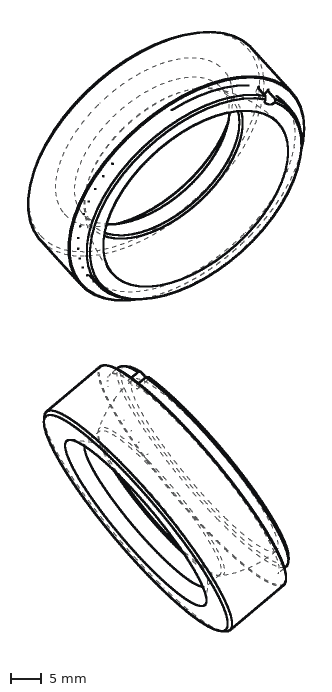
import cadquery as cq
import math

total_length = 14.9
outer_radius = 23.25
front_chamfer = 0.5
rear_chamfer = 0.15

boss_length = 2.55
boss_radius = 21.2
boss_root_fillet = 0.3
boss_chamfer_length = 0.4
boss_chamfer_depth = 0.35
shoulder_x = total_length - boss_length

throat_radius = 15.25
countersink_depth = 2.25
throat_end_x = 5.15
throat_bevel_length = 0.35
seat_radius = 18.25
rim_land_length = 0.35
seat_start_x = throat_end_x + throat_bevel_length
seat_start_radius = math.sqrt(seat_radius**2 - (total_length - seat_start_x) ** 2)
seat_end_x = total_length - rim_land_length
seat_end_radius = math.sqrt(seat_radius**2 - rim_land_length**2)

keyway_angle = 45.0
keyway_width = 2.7
keyway_floor_radius = 20.1
keyway_corner_radius = 0.95
keyway_height = 2 * (outer_radius - keyway_floor_radius)


def make_ring():
    """Revolve the half section, drawn as (X, radius), about the X axis."""
    fillet_end = (shoulder_x + boss_root_fillet, boss_radius)
    section = (
        cq.Workplane("XY")
        .moveTo(0, throat_radius + countersink_depth)
        .lineTo(0, outer_radius - front_chamfer)
        .lineTo(front_chamfer, outer_radius)
        .lineTo(shoulder_x - rear_chamfer, outer_radius)
        .lineTo(shoulder_x, outer_radius - rear_chamfer)
        .lineTo(shoulder_x, boss_radius + boss_root_fillet)
        .radiusArc(fillet_end, -boss_root_fillet)
        .lineTo(total_length - boss_chamfer_length, boss_radius)
        .lineTo(total_length, boss_radius - boss_chamfer_depth)
        .lineTo(total_length, seat_end_radius)
        .lineTo(seat_end_x, seat_end_radius)
        .radiusArc((seat_start_x, seat_start_radius), -seat_radius)
        .lineTo(throat_end_x, throat_radius)
        .lineTo(countersink_depth, throat_radius)
        .close()
    )
    return section.revolve(360, (0, 0, 0), (1, 0, 0))


def make_keyway():
    """Cutter with a flat floor and rounded floor corners, from the shoulder to the rear face."""
    return (
        cq.Workplane("XY")
        .box(boss_length, keyway_width, keyway_height, centered=(False, True, False))
        .edges("|X and <Z")
        .fillet(keyway_corner_radius)
        .translate((shoulder_x, 0, keyway_floor_radius))
        .rotate((0, 0, 0), (1, 0, 0), -keyway_angle)
    )


result = make_ring().cut(make_keyway())